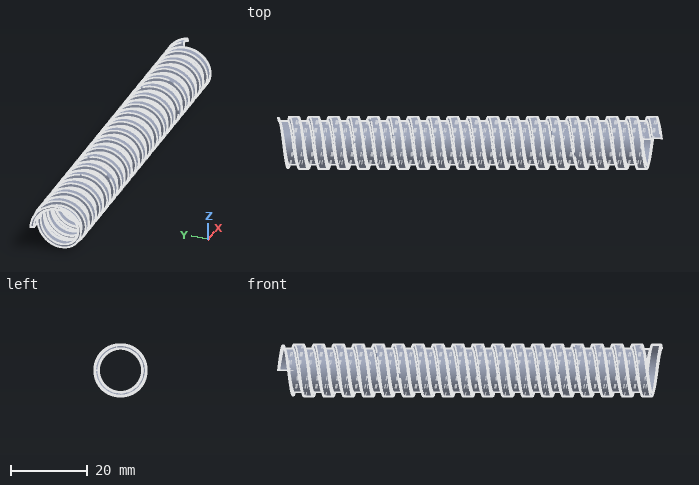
import cadquery as cq


LENGTH = 100.0
OUTER_RADIUS = 13.7 / 2
BORE_RADIUS = 11.2 / 2

SHEET = 0.15
STRIP_WIDTH = 5.6
GROOVE_START = 0.2
CREST_START = 2.9
CREST_END = 5.4
WALL_RUN = 0.3
INNER_BEND = 0.05
OUTER_BEND = INNER_BEND + SHEET

FULL_TURNS = 18
LAST_TURN_ANGLE = 80.0
TURNS = FULL_TURNS + LAST_TURN_ANGLE / 360
HELIX_HEIGHT = LENGTH - STRIP_WIDTH
PITCH = HELIX_HEIGHT / TURNS

GROOVE_RADIUS = BORE_RADIUS + SHEET
CREST_INNER_RADIUS = OUTER_RADIUS - SHEET
LIP_TIP_RADIUS = CREST_INNER_RADIUS - SHEET
SKIRT_TIP_RADIUS = GROOVE_RADIUS + SHEET

MATCH_TOLERANCE = 0.0001


def section_point(radius, axial):
    """Point of the section, which lies in the XZ plane with Z as the hose axis."""
    return cq.Vector(radius, 0, axial)


def round_corners(face, corners, radius):
    """Round the vertices of the face that lie on the given corners."""

    def is_corner(vertex):
        return any((vertex.Center() - corner).Length < MATCH_TOLERANCE for corner in corners)

    return face.fillet2D(radius, [vertex for vertex in face.Vertices() if is_corner(vertex)])


def strip_section():
    """Folded section: lip, groove, sloped wall, crest and skirt, with rounded bends."""
    wall_foot = CREST_START - WALL_RUN
    lip_tip = [
        section_point(LIP_TIP_RADIUS, 0),
        section_point(LIP_TIP_RADIUS, SHEET),
    ]
    groove_outer = [
        section_point(GROOVE_RADIUS, GROOVE_START + SHEET),
        section_point(GROOVE_RADIUS, wall_foot),
    ]
    crest_outer = [
        section_point(OUTER_RADIUS, CREST_START),
        section_point(OUTER_RADIUS, CREST_END),
    ]
    skirt_tip = [
        section_point(SKIRT_TIP_RADIUS, STRIP_WIDTH),
        section_point(SKIRT_TIP_RADIUS, STRIP_WIDTH - SHEET),
    ]
    crest_inner = [
        section_point(CREST_INNER_RADIUS, CREST_END - SHEET),
        section_point(CREST_INNER_RADIUS, CREST_START + SHEET),
    ]
    groove_inner = [
        section_point(BORE_RADIUS, wall_foot + SHEET),
        section_point(BORE_RADIUS, GROOVE_START),
    ]
    outline = lip_tip + groove_outer + crest_outer + skirt_tip + crest_inner + groove_inner
    face = cq.Face.makeFromWires(cq.Wire.makePolygon(outline, close=True))
    face = round_corners(face, groove_outer + crest_inner, INNER_BEND)
    face = round_corners(face, crest_outer + groove_inner, OUTER_BEND)
    return face.outerWire()


def wound_strip():
    """Strip swept along the helix about Z, starting at +X."""
    helix = cq.Wire.makeHelix(PITCH, HELIX_HEIGHT, BORE_RADIUS)
    section = cq.Workplane("XZ").add(strip_section()).toPending()
    return section.sweep(cq.Workplane(obj=helix), isFrenet=True)


result = wound_strip().rotate((0, 0, 0), (1, 1, 1), 120)